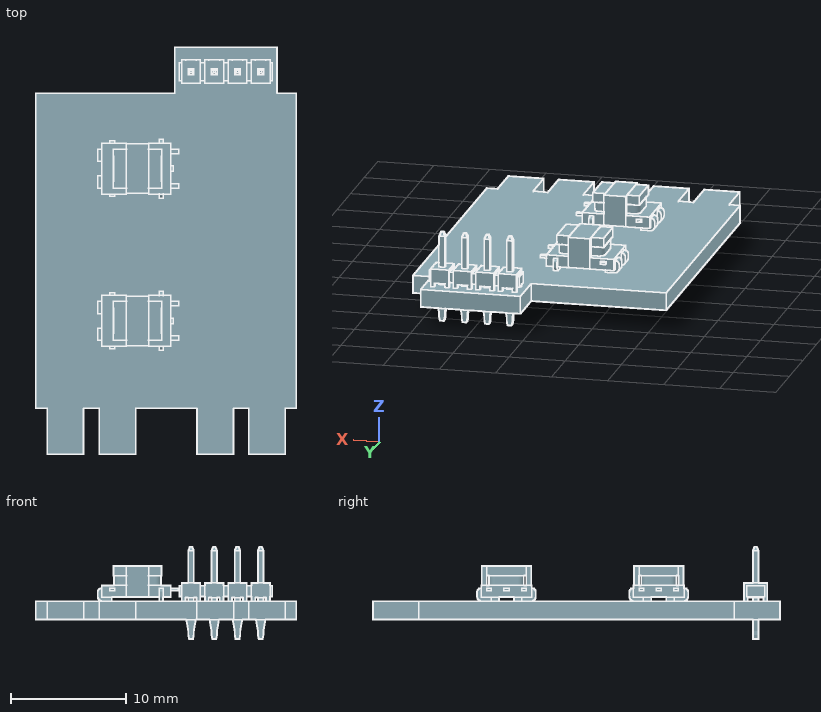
import cadquery as cq


BOARD_WIDTH = 22.6
BOARD_LENGTH = 35.3
BOARD_THICKNESS = 1.6
END_TAB_LENGTH = 4.0
FINGER_WIDTH = 3.18
FINGER_STARTS = (1.0, 5.5, 13.98, 18.45)
HEADER_TAB_WIDTH = 8.9

HEADER_X = 5.2
HEADER_TO_BOARD_END = 2.12
PIN_COUNT = 4
PIN_PITCH = 2.0
BLOCK_WIDTH = 1.62
BLOCK_DEPTH = 2.05
BLOCK_TOP = 1.6
BAR_DEPTH = 1.55
BAR_BOTTOM = 0.4
BAR_TOP = 1.35
STANDOFF = 0.32
FOOT_WIDTH = 0.35
PIN_WIDTH = 0.5
PIN_TOP = 4.73
PIN_POINT_HEIGHT = 0.35
PIN_POINT_WIDTH = 0.2
TAIL_WIDTH = 0.85
TAIL_LENGTH = 1.7
TAIL_TAPER_LENGTH = 1.0
TAIL_END_HEIGHT = 0.35
TAIL_END_WIDTH = 0.35

TRANSFORMER_X = -2.47
TRANSFORMER_END_OFFSET = 10.52
TRANSFORMER_PITCH = 13.2
TRANSFORMER_COUNT = 2
BASE_LENGTH = 6.0
BASE_WIDTH = 4.4
BASE_OFFSET = -0.1
BASE_BOTTOM = 0.35
BASE_TOP = 1.38
CORE_LENGTH = 1.95
CORE_WIDTH = 4.3
CORE_TOP = 3.07
PLATE_LENGTH = 4.15
PLATE_WIDTH = 3.4
PLATE_BOTTOM = 2.22
SPOOL_LENGTH = 4.1
SPOOL_WIDTH = 3.05
SPOOL_RADIUS = 0.53
LEAD_REACH = 0.35
LEAD_TOP = 1.13
LEAD_TOP_RADIUS = 0.35
LEAD_BOTTOM_RADIUS = 0.42
LEAD_FOOT_INSET = 0.9
END_LEAD_WIDTH = 1.05
END_LEAD_Y = 1.15
SIDE_LEAD_WIDTH = 0.35
SIDE_LEAD_X = 2.05
TERMINAL_BOTTOM = 0.92
TERMINAL_LENGTH = 0.67
TERMINAL_WIDTH = 0.4
STUB_LENGTH = 0.2
STUB_WIDTH = 0.45
SIDE_STUB_X = -2.2

BOARD_END_Y = BOARD_LENGTH / 2
PANEL_LENGTH = BOARD_LENGTH - 2 * END_TAB_LENGTH
HEADER_Y = BOARD_END_Y - HEADER_TO_BOARD_END
HEADER_LENGTH = PIN_COUNT * PIN_PITCH
PIN_POSITIONS = [
    (HEADER_X + (i - (PIN_COUNT - 1) / 2) * PIN_PITCH, HEADER_Y) for i in range(PIN_COUNT)
]
TRANSFORMER_POSITIONS = [
    (TRANSFORMER_X, BOARD_END_Y - TRANSFORMER_END_OFFSET - i * TRANSFORMER_PITCH)
    for i in range(TRANSFORMER_COUNT)
]


def block(length, width, bottom, top, x=0.0, y=0.0):
    """Upright box centred on (x, y), reaching from z = bottom to z = top."""
    return (
        cq.Workplane("XY")
        .box(length, width, top - bottom, centered=(True, True, False))
        .translate((x, y, bottom))
    )


def make_pin():
    """One header pin: pointed top, square shank and a flat tail tapering in X."""
    point_base = PIN_TOP - PIN_POINT_HEIGHT
    shank = block(PIN_WIDTH, PIN_WIDTH, -BOARD_THICKNESS, point_base)
    point = (
        cq.Workplane("XY")
        .workplane(offset=point_base)
        .rect(PIN_WIDTH, PIN_WIDTH)
        .workplane(offset=PIN_POINT_HEIGHT)
        .rect(PIN_POINT_WIDTH, PIN_POINT_WIDTH)
        .loft()
    )
    tail_bottom = -BOARD_THICKNESS - TAIL_LENGTH
    right_edge = [
        (TAIL_WIDTH / 2, -BOARD_THICKNESS),
        (PIN_WIDTH / 2, -BOARD_THICKNESS - TAIL_TAPER_LENGTH),
        (PIN_WIDTH / 2, tail_bottom + TAIL_END_HEIGHT),
        (TAIL_END_WIDTH / 2, tail_bottom),
    ]
    left_edge = [(-x, z) for x, z in reversed(right_edge)]
    tail = (
        cq.Workplane("XZ")
        .polyline(right_edge + left_edge)
        .close()
        .extrude(PIN_WIDTH / 2, both=True)
    )
    return shank.union(point).union(tail)


def make_header():
    header = block(HEADER_LENGTH, BAR_DEPTH, BAR_BOTTOM, BAR_TOP, HEADER_X, HEADER_Y)
    pin = make_pin()
    for x, y in PIN_POSITIONS:
        housing = block(BLOCK_WIDTH, BLOCK_DEPTH, 0, BLOCK_TOP, x, y)
        channel_along_x = block(BLOCK_WIDTH, BLOCK_DEPTH - 2 * FOOT_WIDTH, 0, STANDOFF, x, y)
        channel_along_y = block(BLOCK_WIDTH - 2 * FOOT_WIDTH, BLOCK_DEPTH, 0, STANDOFF, x, y)
        housing = housing.cut(channel_along_x).cut(channel_along_y)
        header = header.union(housing).union(pin.translate((x, y, 0)))
    return header


def make_board():
    """Board plate with the header tab, the connector fingers and the pin header."""
    board = block(BOARD_WIDTH, PANEL_LENGTH, -BOARD_THICKNESS, 0)
    end_tab_y = (PANEL_LENGTH + END_TAB_LENGTH) / 2
    board = board.union(
        block(HEADER_TAB_WIDTH, END_TAB_LENGTH, -BOARD_THICKNESS, 0, HEADER_X, end_tab_y)
    )
    for start in FINGER_STARTS:
        finger_x = -BOARD_WIDTH / 2 + start + FINGER_WIDTH / 2
        board = board.union(
            block(FINGER_WIDTH, END_TAB_LENGTH, -BOARD_THICKNESS, 0, finger_x, -end_tab_y)
        )
    return board.union(make_header())


def make_lead(width):
    """Bent lead on a wall at x = 0, standing out toward -X, its foot running toward +X."""
    return (
        cq.Workplane("XZ")
        .moveTo(LEAD_FOOT_INSET, 0)
        .lineTo(LEAD_BOTTOM_RADIUS - LEAD_REACH, 0)
        .radiusArc((-LEAD_REACH, LEAD_BOTTOM_RADIUS), LEAD_BOTTOM_RADIUS)
        .lineTo(-LEAD_REACH, LEAD_TOP - LEAD_TOP_RADIUS)
        .radiusArc((LEAD_TOP_RADIUS - LEAD_REACH, LEAD_TOP), LEAD_TOP_RADIUS)
        .lineTo(LEAD_FOOT_INSET, LEAD_TOP)
        .close()
        .extrude(width / 2, both=True)
    )


def make_core():
    """Core of one transformer: an upside-down U straddling the bobbin."""
    core = block(CORE_LENGTH, CORE_WIDTH, BASE_BOTTOM, CORE_TOP)
    return core.cut(block(CORE_LENGTH, PLATE_WIDTH, BASE_BOTTOM, PLATE_BOTTOM))


def make_bobbin():
    """Bobbin of one transformer, recessed for the core, its leads standing on z = 0."""
    base_left = BASE_OFFSET - BASE_LENGTH / 2
    base_right = BASE_OFFSET + BASE_LENGTH / 2
    base_side = BASE_WIDTH / 2

    body = block(BASE_LENGTH, BASE_WIDTH, BASE_BOTTOM, BASE_TOP, BASE_OFFSET)
    spool = block(SPOOL_LENGTH, SPOOL_WIDTH, BASE_TOP, PLATE_BOTTOM).edges("|Z").fillet(SPOOL_RADIUS)
    plate = block(PLATE_LENGTH, PLATE_WIDTH, PLATE_BOTTOM, CORE_TOP)
    body = body.union(spool).union(plate)
    wall_recess = (
        block(CORE_LENGTH, BASE_WIDTH, BASE_BOTTOM, CORE_TOP)
        .cut(block(CORE_LENGTH, PLATE_WIDTH, BASE_BOTTOM, PLATE_BOTTOM))
    )
    body = body.cut(wall_recess)

    end_lead = make_lead(END_LEAD_WIDTH)
    side_lead = make_lead(SIDE_LEAD_WIDTH).rotate((0, 0, 0), (0, 0, 1), 90)
    for side in (-1, 1):
        body = body.union(end_lead.translate((base_left, side * END_LEAD_Y, 0)))

        turned = side_lead if side < 0 else side_lead.mirror("XZ")
        body = body.union(turned.translate((SIDE_LEAD_X, side * base_side, 0)))

        terminal_y = side * (PLATE_WIDTH - TERMINAL_WIDTH) / 2
        terminal_x = base_right + TERMINAL_LENGTH / 2
        body = body.union(
            block(TERMINAL_LENGTH, TERMINAL_WIDTH, TERMINAL_BOTTOM, LEAD_TOP, terminal_x, terminal_y)
        )

        stub_y = side * (base_side + STUB_LENGTH / 2)
        body = body.union(
            block(STUB_WIDTH, STUB_LENGTH, TERMINAL_BOTTOM, LEAD_TOP, SIDE_STUB_X, stub_y)
        )

    end_stub_x = base_right + STUB_LENGTH / 2
    return body.union(block(STUB_LENGTH, STUB_WIDTH, TERMINAL_BOTTOM, LEAD_TOP, end_stub_x))


board = make_board()
bobbin = make_bobbin()
core = make_core()
bobbins = [bobbin.translate((x, y, 0)).val() for x, y in TRANSFORMER_POSITIONS]
cores = [core.translate((x, y, 0)).val() for x, y in TRANSFORMER_POSITIONS]

result = cq.Compound.makeCompound([board.val(), *bobbins, *cores])